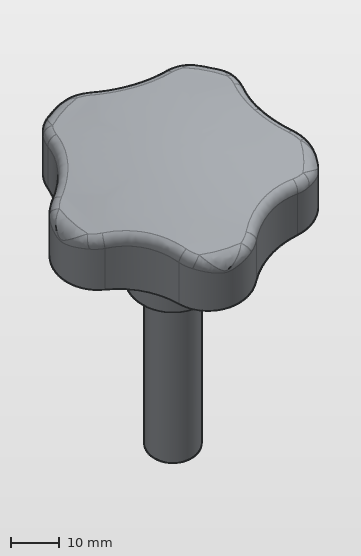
import cadquery as cq
import math

LOBE_COUNT = 5
LOBE_PITCH_RADIUS = 20.0
LOBE_RADIUS = 10.0
FLANK_RADIUS = 20.0
FIRST_LOBE_ANGLE = -90.0
HEAD_HEIGHT = 17.5
HEAD_RADIUS = LOBE_PITCH_RADIUS + LOBE_RADIUS

DOME_RADIUS = 122.0
RIM_ROUNDING = 4.0
OUTLINE_ROUNDING = 2.5

BLANK_CLEARANCE = 0.03
BLANK_RADIUS = HEAD_RADIUS + BLANK_CLEARANCE

BOSS_DIAMETER = 20.0
BOSS_LENGTH = 20.0
SPINDLE_DIAMETER = 12.0
SPINDLE_LENGTH = 50.0
SPINDLE_CHAMFER = 0.8


def polar(radius, degrees):
    """Point at the given distance and direction from the knob axis."""
    angle = math.radians(degrees)
    return (radius * math.cos(angle), radius * math.sin(angle))


def star_outline():
    """Closed outline of tangent arcs: convex lobes alternating with concave flanks."""
    pitch = 360.0 / LOBE_COUNT
    half_pitch = math.radians(pitch / 2)
    centre_gap = LOBE_RADIUS + FLANK_RADIUS
    flank_pitch_radius = LOBE_PITCH_RADIUS * math.cos(half_pitch) + math.sqrt(
        centre_gap**2 - (LOBE_PITCH_RADIUS * math.sin(half_pitch)) ** 2
    )
    valley_radius = flank_pitch_radius - FLANK_RADIUS
    share = LOBE_RADIUS / centre_gap
    along = LOBE_PITCH_RADIUS * (1 - share) + flank_pitch_radius * math.cos(half_pitch) * share
    across = flank_pitch_radius * math.sin(half_pitch) * share
    tangent_radius = math.hypot(along, across)
    tangent_angle = math.degrees(math.atan2(across, along))

    outline = cq.Workplane("XY").moveTo(*polar(tangent_radius, FIRST_LOBE_ANGLE - tangent_angle))
    for index in range(LOBE_COUNT):
        lobe_angle = FIRST_LOBE_ANGLE + index * pitch
        outline = outline.threePointArc(
            polar(HEAD_RADIUS, lobe_angle),
            polar(tangent_radius, lobe_angle + tangent_angle),
        ).threePointArc(
            polar(valley_radius, lobe_angle + pitch / 2),
            polar(tangent_radius, lobe_angle + pitch - tangent_angle),
        )
    return outline.close()


def domed_blank():
    """Round blank with a spherical crown and a rounded rim."""
    dome_centre = HEAD_HEIGHT - DOME_RADIUS
    rim_height = dome_centre + math.sqrt(DOME_RADIUS**2 - BLANK_RADIUS**2)
    mid_radius = BLANK_RADIUS / 2
    mid_height = dome_centre + math.sqrt(DOME_RADIUS**2 - mid_radius**2)
    blank = (
        cq.Workplane("YZ")
        .lineTo(BLANK_RADIUS, 0)
        .lineTo(BLANK_RADIUS, rim_height)
        .threePointArc((mid_radius, mid_height), (0, HEAD_HEIGHT))
        .close()
        .revolve(360, (0, 0, 0), (0, 1, 0))
    )
    rim = cq.selectors.NearestToPointSelector((0, 0, rim_height))
    return blank.edges(rim).fillet(RIM_ROUNDING)


def head():
    """Star-shaped slice of the domed blank with its upper outline rounded."""
    star = star_outline().extrude(HEAD_HEIGHT)
    body = domed_blank().intersect(star)
    return body.edges("%BSPLINE").fillet(OUTLINE_ROUNDING)


def round_bar(diameter, length, top):
    """Vertical cylinder hanging down from the given height."""
    return cq.Workplane("XY", origin=(0, 0, top)).circle(diameter / 2).extrude(-length)


boss = round_bar(BOSS_DIAMETER, BOSS_LENGTH, 0)
spindle = round_bar(SPINDLE_DIAMETER, SPINDLE_LENGTH, -BOSS_LENGTH).faces("<Z").chamfer(SPINDLE_CHAMFER)
result = head().union(boss).union(spindle)